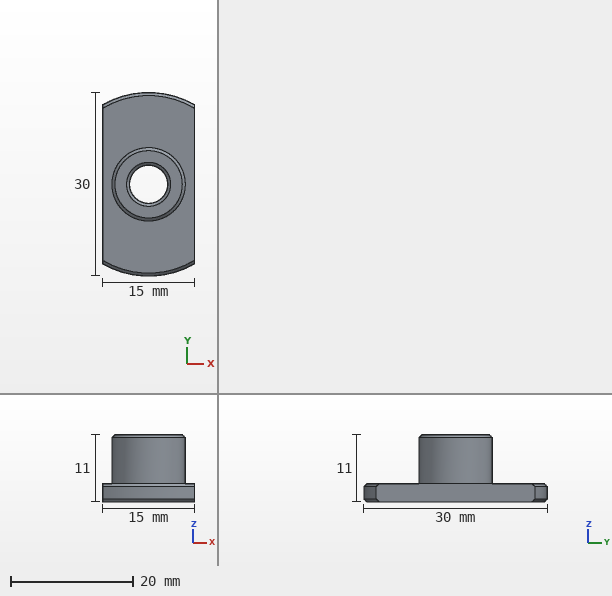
import cadquery as cq

plate_diameter = 30.0
plate_width = 15.0
plate_thickness = 3.0

boss_diameter = 12.0
boss_height = 8.0
bore_diameter = 6.2

edge_chamfer = 0.5

total_height = plate_thickness + boss_height


def make_plate():
    """Disc with both rims chamfered, cut down to the plate width along X."""
    disc = (
        cq.Workplane("XY")
        .circle(plate_diameter / 2)
        .extrude(plate_thickness)
        .edges("%CIRCLE")
        .chamfer(edge_chamfer)
    )
    strip = cq.Workplane("XY").box(
        plate_width, plate_diameter, plate_thickness, centered=(True, True, False)
    )
    return disc.intersect(strip)


def make_boss():
    """Cylinder standing from the plate underside, chamfered at its top rim."""
    return (
        cq.Workplane("XY")
        .circle(boss_diameter / 2)
        .extrude(total_height)
        .faces(">Z")
        .edges()
        .chamfer(edge_chamfer)
    )


def make_bore():
    """Through bore with a 45 degree countersink at the top of the boss."""
    bore_radius = bore_diameter / 2
    bore = cq.Workplane("XY").circle(bore_radius).extrude(total_height)
    countersink = cq.Workplane("XY").add(
        cq.Solid.makeCone(
            bore_radius,
            bore_radius + edge_chamfer,
            edge_chamfer,
            pnt=cq.Vector(0, 0, total_height - edge_chamfer),
        )
    )
    return bore.union(countersink)


result = make_plate().union(make_boss()).cut(make_bore())